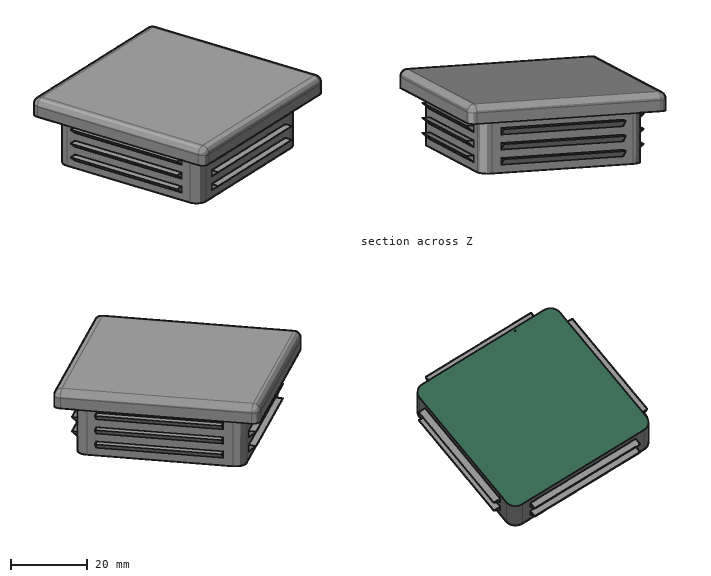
import cadquery as cq

total_height = 19.5
cap_width = 55.0
cap_thickness = 5.0
cap_radius = 2.0

plug_width = 45.0
plug_radius = 3.0
plug_height = total_height - cap_thickness

barb_length = 33.8
barb_reach = 2.1
barb_height = 1.8
barb_count = 3
barb_pitch = 4.0
first_barb_drop = 2.5
barb_root = 0.5


def make_cap():
    return (
        cq.Workplane("XY")
        .workplane(offset=plug_height)
        .rect(cap_width, cap_width)
        .extrude(cap_thickness)
        .edges("|Z")
        .fillet(cap_radius)
        .faces(">Z")
        .edges()
        .fillet(cap_radius)
    )


def make_plug():
    return (
        cq.Workplane("XY")
        .rect(plug_width, plug_width)
        .extrude(plug_height)
        .edges("|Z")
        .fillet(plug_radius)
    )


def make_barb(top_z):
    """One barb on the +X wall of the plug."""
    wall_x = plug_width / 2
    root_x = wall_x - barb_root
    bottom_z = top_z - barb_height
    return (
        cq.Workplane("XZ")
        .moveTo(root_x, top_z)
        .lineTo(wall_x + barb_reach, top_z)
        .lineTo(wall_x, bottom_z)
        .lineTo(root_x, bottom_z)
        .close()
        .extrude(barb_length / 2, both=True)
    )


result = make_cap().union(make_plug())
for level in range(barb_count):
    barb = make_barb(plug_height - first_barb_drop - level * barb_pitch)
    for wall_angle in (0, 90, 180, 270):
        result = result.union(barb.rotate((0, 0, 0), (0, 0, 1), wall_angle))